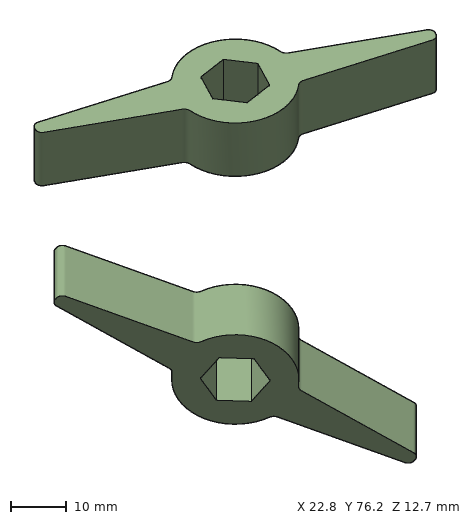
import cadquery as cq
import math

length = 76.2
thickness = 12.7
hub_diameter = 22.8
hex_across_flats = 10.8
center_half_width = 5.1
tip_half_width = 1.4
tip_radius = 1.3
root_radius = 1.5

half_length = length / 2
hub_radius = hub_diameter / 2
hex_across_corners = hex_across_flats / math.cos(math.pi / 6)


def blade(direction):
    """Tapered blade from the hub centre to a rounded tip at +Y or -Y."""
    tip_y = direction * half_length
    profile = [
        (-center_half_width, 0),
        (-tip_half_width, tip_y),
        (tip_half_width, tip_y),
        (center_half_width, 0),
    ]
    body = cq.Workplane("XY").polyline(profile).close().extrude(thickness)
    tip_face = ">Y" if direction > 0 else "<Y"
    return body.faces(tip_face).edges("|Z").fillet(tip_radius)


hub = cq.Workplane("XY").circle(hub_radius).extrude(thickness)
body = hub.union(blade(1)).union(blade(-1))

root_zone = cq.selectors.BoxSelector(
    (-center_half_width, -hub_radius, 0),
    (center_half_width, hub_radius, thickness),
)
body = body.edges("|Z").edges(root_zone).fillet(root_radius)

hex_bore = cq.Workplane("XY").polygon(6, hex_across_corners).extrude(thickness)
result = body.cut(hex_bore)